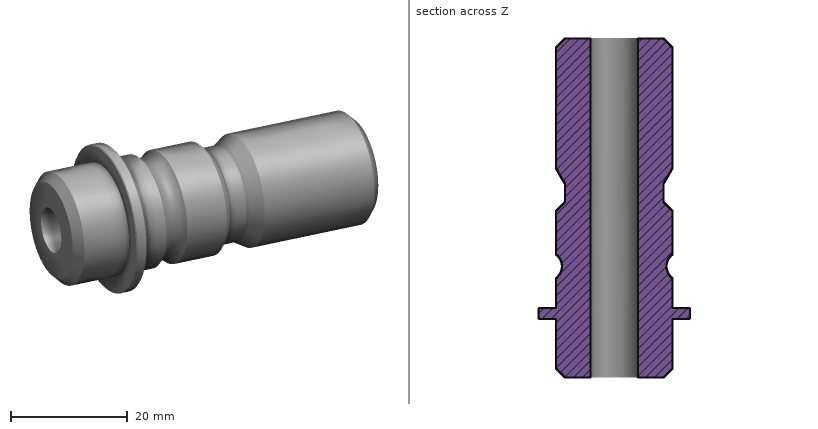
import cadquery as cq
import math

length = 58.0
body_radius = 10.0
bore_radius = 4.0
end_chamfer = 1.5

collar_radius = 13.0
collar_start = 10.0
collar_width = 2.0
collar_edge_chamfer = 0.2

groove_center = 19.0
groove_width = 4.0
groove_depth = 1.0

waist_start = 28.55
waist_floor_end = 33.1
waist_depth = 1.5
rear_flank_angle = 30.0

groove_start = groove_center - groove_width / 2
groove_end = groove_center + groove_width / 2
groove_floor_radius = body_radius - groove_depth
end_face_radius = body_radius - end_chamfer
waist_radius = body_radius - waist_depth
waist_floor_start = waist_start + waist_depth
waist_end = waist_floor_end + waist_depth / math.tan(math.radians(rear_flank_angle))


def make_body():
    """Revolve the half profile, with X as radius and Y along the axis."""
    profile = (
        cq.Workplane("XY")
        .moveTo(bore_radius, 0)
        .lineTo(end_face_radius, 0)
        .lineTo(body_radius, end_chamfer)
        .lineTo(body_radius, groove_start)
        .threePointArc((groove_floor_radius, groove_center), (body_radius, groove_end))
        .lineTo(body_radius, waist_start)
        .lineTo(waist_radius, waist_floor_start)
        .lineTo(waist_radius, waist_floor_end)
        .lineTo(body_radius, waist_end)
        .lineTo(body_radius, length - end_chamfer)
        .lineTo(end_face_radius, length)
        .lineTo(bore_radius, length)
        .close()
    )
    return profile.revolve(360, (0, 0, 0), (0, 1, 0))


def make_collar():
    """Make the collar ring with both outer edges broken."""
    disc = (
        cq.Workplane("XZ", origin=(0, collar_start, 0))
        .circle(collar_radius)
        .extrude(-collar_width)
        .edges()
        .chamfer(collar_edge_chamfer)
    )
    bore = cq.Workplane("XZ").circle(bore_radius).extrude(-length)
    return disc.cut(bore)


result = make_body().union(make_collar())